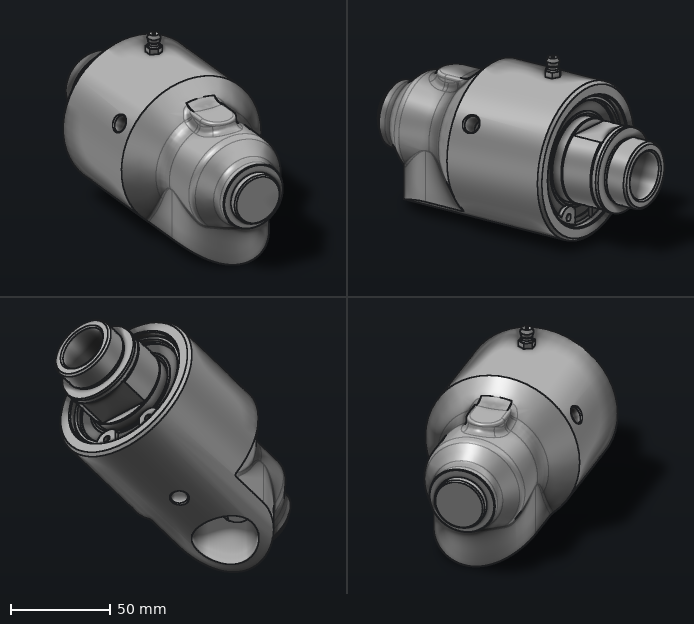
import cadquery as cq
import math


PICK_MARGIN = 0.1

TOTAL_LENGTH = 157.15
BODY_START = 35.6
SHOULDER_X = 93.3
NOSE_END = 152.9

BODY_R = 41.3
BODY_CHAMFER = 1.6
WAIST_R = 26.7
WAIST_CORNER_X = 136.1
NOSE_R = 17.6
NOSE_CHAMFER = 0.4
CONE_ANGLE = math.radians(40)
WAIST_BLEND_R = 12.6
NOSE_BLEND_R = 6.0
PLUG_R = 13.4
PLUG_CHAMFER = 0.8

THREAD_R = 34.9 / 2
THREAD_CHAMFER = 1.1
THREAD_END = 12.2
RELIEF_R = 16.6
FLANGE_START = 13.4
FLANGE_STEP_X = 14.9
FLANGE_END = 17.3
FLANGE_R = 44.65 / 2
FLANGE_FRONT_R = 44.5 / 2
ROTOR_R = 44.65 / 2
BEARING_SEAT_R = 44.5 / 2
ROTOR_RELIEF_R = 21.6
ROTOR_RELIEF_LENGTH = 0.9
SEAT_GROOVE_START = 35.3
SEAT_GROOVE_LENGTH = 1.0
SEAT_GROOVE_R = 21.9
FLAT_FROM_AXIS = 18.0
BORE_R = 25 / 2
BORE_CHAMFER = 0.9
BORE_END = 140.0

MOUTH_R = 68.1 / 2
MOUTH_CHAMFER = 0.6
MOUTH_ROOT_BEVEL = 1.1
RING_FACE_X = 38.3
RING_THICKNESS = 2.4
RING_EDGE_BEVEL = 1.1
RING_INNER_R = 31.4
RING_GAP = 14.8
EAR_R = 6.6
EAR_CENTRE_R = 30.5
EAR_HOLE_D = 3.72
EAR_HOLE_PITCH_R = 29.8
EAR_SPREAD = 25.8
BEARING_FACE_X = RING_FACE_X + RING_THICKNESS
SEAL_OUTER_R = 60.73 / 2
SEAL_INNER_R = 49.77 / 2
SEAL_RECESS = 0.5
RACE_BEVEL = 1.3

SADDLE_X = 117.5
SADDLE_R = 26.35
SADDLE_BLEND = 2.0
PORT_X = 120.9
PORT_R = 16.9

PAD_R = 9.9
PAD_TOP_Z = 31.2
PAD_EDGE_R = 1.7
PAD_BASE_R = 4.5
PAD_ROOT_R = 12.0
PAD_ROOT_START = 101.9
PAD_ROOT_END = 111.0

DRAIN_X = 82.25
DRAIN_D = 8.6
DRAIN_MOUTH_D = 10.2
DRAIN_FLOOR_R = 61.1 / 2
DRAIN_ANGLES = (30, 150, 270)

NIPPLE_X = 57.4
NIPPLE_BASE_Z = 40.0
NIPPLE_TOP_Z = 51.29
HEX_FLATS = 7.4
HEX_TURN = 30
HEX_TOP_Z = 44.3
NIPPLE_COLLAR_R = 3.4
NIPPLE_NECK_R = 2.7
NIPPLE_NECK_START_Z = 45.1
NIPPLE_NECK_END_Z = 46.5
NIPPLE_THROAT_R = 3.0
NIPPLE_THROAT_Z = 47.0
NIPPLE_HEAD_R = 3.5
NIPPLE_HEAD_Z = 49.2
NIPPLE_TIP_R = 2.6
NIPPLE_INLET_R = 0.75
NIPPLE_INLET_DEPTH = 1.0


def revolve_about_x(outline):
    """Turn a closed outline of (x, radius) points once about the X axis."""
    return outline.close().revolve(360, (0, 0, 0), (1, 0, 0))


def tube(x_start, x_end, outer_r, inner_r=0):
    """Cylinder or ring along X."""
    ring = cq.Workplane("YZ", origin=(x_start, 0, 0)).circle(outer_r)
    if inner_r:
        ring = ring.circle(inner_r)
    return ring.extrude(x_end - x_start)


def make_housing():
    """Solid housing: cylinder, cone, waist, cone and nose with tangent blends."""
    run, rise = math.cos(CONE_ANGLE), math.sin(CONE_ANGLE)
    waist_start_x = SHOULDER_X + (BODY_R - WAIST_R) / math.tan(CONE_ANGLE)
    nose_start_x = WAIST_CORNER_X + (WAIST_R - NOSE_R) / math.tan(CONE_ANGLE)
    waist_tangent = WAIST_BLEND_R * math.tan(CONE_ANGLE / 2)
    nose_tangent = NOSE_BLEND_R * math.tan(CONE_ANGLE / 2)
    outline = (
        cq.Workplane("XY")
        .moveTo(BODY_START, 0)
        .lineTo(BODY_START, BODY_R - BODY_CHAMFER)
        .lineTo(BODY_START + BODY_CHAMFER, BODY_R)
        .lineTo(SHOULDER_X, BODY_R)
        .lineTo(waist_start_x - waist_tangent * run, WAIST_R + waist_tangent * rise)
        .tangentArcPoint((waist_start_x + waist_tangent, WAIST_R), relative=False)
        .lineTo(WAIST_CORNER_X - nose_tangent, WAIST_R)
        .tangentArcPoint(
            (WAIST_CORNER_X + nose_tangent * run, WAIST_R - nose_tangent * rise), relative=False
        )
        .lineTo(nose_start_x - nose_tangent * run, NOSE_R + nose_tangent * rise)
        .tangentArcPoint((nose_start_x + nose_tangent, NOSE_R), relative=False)
        .lineTo(NOSE_END - NOSE_CHAMFER, NOSE_R)
        .lineTo(NOSE_END, NOSE_R - NOSE_CHAMFER)
        .lineTo(NOSE_END, PLUG_R)
        .lineTo(TOTAL_LENGTH - PLUG_CHAMFER, PLUG_R)
        .lineTo(TOTAL_LENGTH, PLUG_R - PLUG_CHAMFER)
        .lineTo(TOTAL_LENGTH, 0)
    )
    return revolve_about_x(outline)


def make_saddle():
    """Round-ended port block below the axis, trimmed to the housing cylinder."""
    block = (
        cq.Workplane("XY")
        .moveTo(SHOULDER_X, SADDLE_R)
        .lineTo(SADDLE_X, SADDLE_R)
        .threePointArc((SADDLE_X + SADDLE_R, 0), (SADDLE_X, -SADDLE_R))
        .lineTo(SHOULDER_X, -SADDLE_R)
        .close()
        .extrude(-BODY_R)
    )
    return block.intersect(tube(SHOULDER_X, TOTAL_LENGTH, BODY_R))


def add_saddle(housing):
    """Join the port block to the housing with a small blend along the seam."""
    body = housing.union(make_saddle())
    block_bottom_z = -math.sqrt(BODY_R ** 2 - SADDLE_R ** 2)
    seam_zone = cq.selectors.BoxSelector(
        (SHOULDER_X, -BODY_R, block_bottom_z), (NOSE_END, BODY_R, -SADDLE_BLEND)
    )
    seam = [edge for edge in body.edges(seam_zone).vals() if edge.geomType() in ("HYPERBOLA", "BSPLINE")]
    return body.newObject(seam).fillet(SADDLE_BLEND)


def make_sharp_pad():
    """Round-ended pad on top, before any edge is rounded."""
    return (
        cq.Workplane("XY", origin=(0, 0, NOSE_R))
        .moveTo(SHOULDER_X, PAD_R)
        .lineTo(SADDLE_X, PAD_R)
        .threePointArc((SADDLE_X + PAD_R, 0), (SADDLE_X, -PAD_R))
        .lineTo(SHOULDER_X, -PAD_R)
        .close()
        .extrude(PAD_TOP_Z - NOSE_R)
    )


def make_pad_root(housing):
    """Wide blend from the flat top of the pad up onto the cone."""
    top_zone = cq.selectors.BoxSelector(
        (SADDLE_X - PAD_R, -PAD_R, PAD_TOP_Z - PICK_MARGIN),
        (SADDLE_X + PAD_R, PAD_R, PAD_TOP_Z + PICK_MARGIN),
    )
    pad_top = housing.union(make_sharp_pad()).faces(top_zone)
    blended = pad_top.edges("<X").fillet(PAD_ROOT_R)
    length = PAD_ROOT_END - PAD_ROOT_START
    envelope = cq.Workplane("XY", origin=(PAD_ROOT_START + length / 2, 0, WAIST_R))
    return blended.intersect(envelope.rect(length, 2 * (PAD_R - PAD_EDGE_R)).extrude(BODY_R - WAIST_R))


def add_pad(body, housing):
    """Join the pad to the body: rounded top edge, filleted base and wide root."""
    pad = make_sharp_pad().faces(">Z").edges("not <X").fillet(PAD_EDGE_R)
    body = body.union(pad)
    base_bottom_z = math.sqrt(WAIST_R ** 2 - PAD_R ** 2)
    base_zone = cq.selectors.BoxSelector(
        (SHOULDER_X, -PAD_R - PICK_MARGIN, base_bottom_z - PICK_MARGIN),
        (SADDLE_X + PAD_R + PICK_MARGIN, PAD_R + PICK_MARGIN, PAD_TOP_Z - PAD_EDGE_R - PICK_MARGIN),
    )
    return body.edges(base_zone).fillet(PAD_BASE_R).union(make_pad_root(housing))


def make_mouth():
    """Space opened up in the housing in front of the bearing."""
    outline = (
        cq.Workplane("XY")
        .moveTo(BODY_START, 0)
        .lineTo(BODY_START, MOUTH_R + MOUTH_CHAMFER)
        .lineTo(BODY_START + MOUTH_CHAMFER, MOUTH_R)
        .lineTo(BEARING_FACE_X - MOUTH_ROOT_BEVEL, MOUTH_R)
        .lineTo(BEARING_FACE_X, MOUTH_R - MOUTH_ROOT_BEVEL)
        .lineTo(BEARING_FACE_X, SEAL_OUTER_R)
        .lineTo(BEARING_FACE_X + SEAL_RECESS, SEAL_OUTER_R)
        .lineTo(BEARING_FACE_X + SEAL_RECESS, SEAL_INNER_R)
        .lineTo(BEARING_FACE_X, SEAL_INNER_R)
        .lineTo(BEARING_FACE_X, BEARING_SEAT_R + RACE_BEVEL)
        .lineTo(BEARING_FACE_X + RACE_BEVEL, BEARING_SEAT_R)
        .lineTo(BEARING_FACE_X + RACE_BEVEL, 0)
    )
    return revolve_about_x(outline)


def make_retaining_ring():
    """Retaining ring with two drilled ears beside a gap at the bottom."""
    ring = tube(RING_FACE_X, BEARING_FACE_X, MOUTH_R, RING_INNER_R)
    ear_y = EAR_SPREAD / 2
    ear_z = -math.sqrt(EAR_CENTRE_R ** 2 - ear_y ** 2)
    hole_z = -math.sqrt(EAR_HOLE_PITCH_R ** 2 - ear_y ** 2)
    plane = cq.Workplane("YZ", origin=(RING_FACE_X, 0, 0))
    ear_centres = [(-ear_y, ear_z), (ear_y, ear_z)]
    ears = plane.pushPoints(ear_centres).circle(EAR_R).extrude(RING_THICKNESS)
    ring = ring.union(ears.intersect(tube(RING_FACE_X, BEARING_FACE_X, MOUTH_R)))
    hole_centres = [(-ear_y, hole_z), (ear_y, hole_z)]
    holes = plane.pushPoints(hole_centres).circle(EAR_HOLE_D / 2).extrude(RING_THICKNESS)
    gap = plane.center(0, -MOUTH_R).rect(RING_GAP, MOUTH_R).extrude(RING_THICKNESS)
    bevel = revolve_about_x(
        cq.Workplane("XY")
        .moveTo(RING_FACE_X, MOUTH_R - RING_EDGE_BEVEL)
        .lineTo(RING_FACE_X, MOUTH_R)
        .lineTo(RING_FACE_X + RING_EDGE_BEVEL, MOUTH_R)
    )
    return ring.cut(holes).cut(gap).cut(bevel)


def make_rotor():
    """Threaded rotor end with flange and two wrench flats."""
    rotor_end = BEARING_FACE_X + RACE_BEVEL
    outline = (
        cq.Workplane("XY")
        .lineTo(0, THREAD_R - THREAD_CHAMFER)
        .lineTo(THREAD_CHAMFER, THREAD_R)
        .lineTo(THREAD_END - (THREAD_R - RELIEF_R), THREAD_R)
        .lineTo(THREAD_END, RELIEF_R)
        .lineTo(FLANGE_START, RELIEF_R)
        .lineTo(FLANGE_START, FLANGE_FRONT_R)
        .lineTo(FLANGE_STEP_X, FLANGE_FRONT_R)
        .lineTo(FLANGE_STEP_X, FLANGE_R)
        .lineTo(FLANGE_END, FLANGE_R)
        .lineTo(FLANGE_END, ROTOR_RELIEF_R)
        .lineTo(FLANGE_END + ROTOR_RELIEF_LENGTH, ROTOR_R)
        .lineTo(SEAT_GROOVE_START, ROTOR_R)
        .lineTo(SEAT_GROOVE_START + SEAT_GROOVE_LENGTH / 2, SEAT_GROOVE_R)
        .lineTo(SEAT_GROOVE_START + SEAT_GROOVE_LENGTH, BEARING_SEAT_R)
        .lineTo(rotor_end, BEARING_SEAT_R)
        .lineTo(rotor_end, 0)
    )
    rotor = revolve_about_x(outline)
    flat_length = SEAT_GROOVE_START - FLANGE_END
    for side in (1, -1):
        flat = cq.Workplane("XY").box(flat_length, 2 * ROTOR_R, ROTOR_R)
        flat_z = side * (FLAT_FROM_AXIS + ROTOR_R / 2)
        rotor = rotor.cut(flat.translate((FLANGE_END + flat_length / 2, 0, flat_z)))
    return rotor


def make_bore():
    """Blind bore from the thread end to just past the port."""
    outline = (
        cq.Workplane("XY")
        .lineTo(0, BORE_R + BORE_CHAMFER)
        .lineTo(BORE_CHAMFER, BORE_R)
        .lineTo(BORE_END, BORE_R)
        .lineTo(BORE_END, 0)
    )
    return revolve_about_x(outline)


def make_port():
    """Port opening from the underside up to the bore."""
    return cq.Workplane("XY", origin=(PORT_X, 0, 0)).circle(PORT_R).extrude(-BODY_R)


def make_drain_hole(angle):
    """Radial drain hole with a bevelled mouth, at an angle from +Y towards +Z."""
    bevel = (DRAIN_MOUTH_D - DRAIN_D) / 2
    outline = (
        cq.Workplane("XY")
        .moveTo(0, DRAIN_FLOOR_R)
        .lineTo(DRAIN_D / 2, DRAIN_FLOOR_R)
        .lineTo(DRAIN_D / 2, BODY_R - bevel)
        .lineTo(DRAIN_MOUTH_D / 2, BODY_R)
        .lineTo(0, BODY_R)
    )
    hole = outline.close().revolve(360, (0, 0, 0), (0, 1, 0))
    return hole.translate((DRAIN_X, 0, 0)).rotate((0, 0, 0), (1, 0, 0), angle)


def make_nipple():
    """Hexagon-based grease nipple standing on the housing."""
    hexagon = (
        cq.Workplane("XY", origin=(0, 0, NIPPLE_BASE_Z))
        .polygon(6, HEX_FLATS, circumscribed=True)
        .extrude(HEX_TOP_Z - NIPPLE_BASE_Z)
        .rotate((0, 0, 0), (0, 0, 1), HEX_TURN)
    )
    outline = (
        cq.Workplane("XZ")
        .moveTo(0, HEX_TOP_Z)
        .lineTo(NIPPLE_COLLAR_R, HEX_TOP_Z)
        .lineTo(NIPPLE_NECK_R, NIPPLE_NECK_START_Z)
        .lineTo(NIPPLE_NECK_R, NIPPLE_NECK_END_Z)
        .lineTo(NIPPLE_THROAT_R, NIPPLE_THROAT_Z)
        .lineTo(NIPPLE_HEAD_R, NIPPLE_HEAD_Z)
        .lineTo(NIPPLE_TIP_R, NIPPLE_TOP_Z)
        .lineTo(0, NIPPLE_TOP_Z)
    )
    nipple = hexagon.union(outline.close().revolve(360, (0, 0, 0), (0, 1, 0)))
    tip = cq.Workplane("XY", origin=(0, 0, NIPPLE_TOP_Z))
    inlet = tip.circle(NIPPLE_INLET_R).extrude(-NIPPLE_INLET_DEPTH)
    return nipple.cut(inlet).translate((NIPPLE_X, 0, 0))


housing = make_housing()
body = add_pad(add_saddle(housing), housing)
result = body.cut(make_mouth()).union(make_rotor()).union(make_retaining_ring())
result = result.cut(make_bore()).cut(make_port())
for angle in DRAIN_ANGLES:
    result = result.cut(make_drain_hole(angle))
result = result.union(make_nipple())